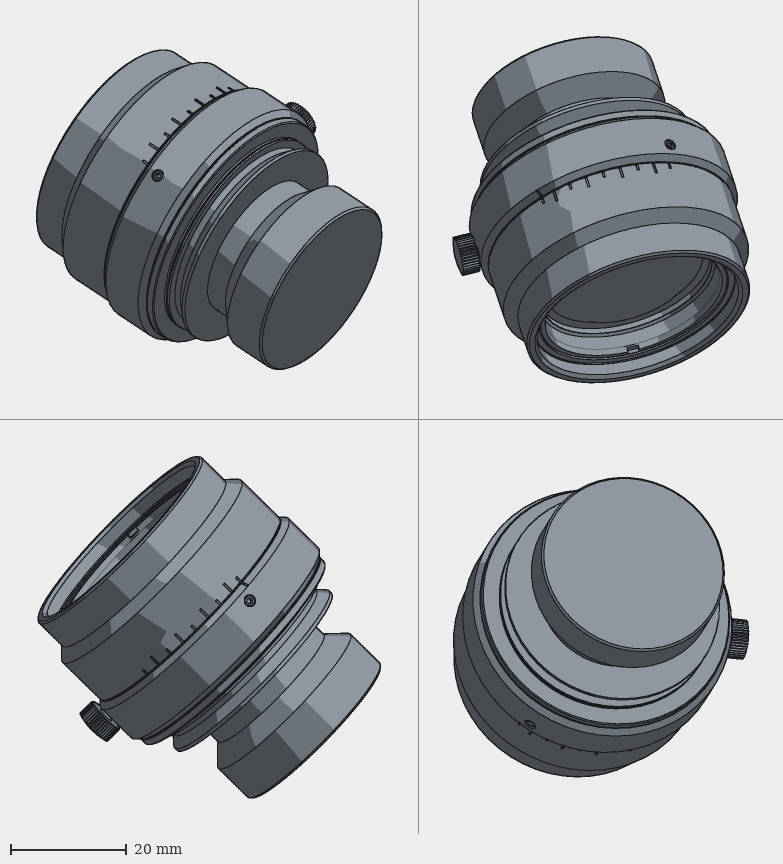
import cadquery as cq
import math

FRONT_R = 20.0
SCALE_R = 22.0
RING_R = 23.0
FLANGE_R = 19.0
DOVETAIL_ROOT_R = 17.5
NECK_R = 13.0
REAR_R = 16.25
EDGE_CHAMFER = 0.35
FLANGE_CHAMFER = 0.2
GROOVE_DEPTH = 0.25

FRONT_TUBE_END = 6.05
SCALE_START = FRONT_TUBE_END + SCALE_R - FRONT_R
SCALE_END = 17.3
RING_START = 17.55
RING_FULL_START = RING_START + RING_R - SCALE_R
RING_FULL_END = 25.9
RING_END = RING_FULL_END + RING_R - SCALE_R
COLLAR_START = 27.15
COLLAR_END = 28.5
FLANGE_GROOVE_START = 28.9
FLANGE_GROOVE_END = 29.1
FLANGE_END = 29.55
DOVETAIL_START = 30.8
DOVETAIL_FULL = 32.45
DOVETAIL_END = 33.1
NECK_END = 37.15
REAR_START = NECK_END + REAR_R - NECK_R
LENGTH = 47.95

GLASS_R = 14.0
GLASS_EDGE_X = 8.8
GLASS_POLE_X = 3.6
RETAINER_X = 3.15
RETAINER_BORE_R = 15.6
RETAINER_R = 16.7
RETAINER_CHAMFER = 0.25
THREAD_R = 18.05
THREAD_END = 2.7
SEAT_LIP_R = 18.0
SEAT_LIP_X = 2.95
SEAT_R = 15.1
BORE_STEPS = [
    (0.0, 18.65),
    (0.6, THREAD_R),
    (THREAD_END, THREAD_R),
    (THREAD_END, SEAT_LIP_R),
    (SEAT_LIP_X, SEAT_LIP_R),
    (SEAT_LIP_X, RETAINER_R + RETAINER_CHAMFER),
    (RETAINER_X + RETAINER_CHAMFER, RETAINER_R + RETAINER_CHAMFER),
    (RETAINER_X, RETAINER_R),
    (RETAINER_X, 15.9),
    (4.2, RETAINER_BORE_R),
    (6.75, RETAINER_BORE_R),
    (7.2, 15.2),
    (7.2, SEAT_R),
    (8.2, SEAT_R),
    (GLASS_EDGE_X, GLASS_R),
]

SLOT_WIDTH = 2.0
SLOT_DEPTH = 0.75
SLOT_INNER_R = 15.3

SCREW_X = 20.5
KNOB_R = 3.4
KNOB_ROOT_R = 3.15
KNOB_RIM_R = 3.25
KNOB_BOTTOM = 23.5
KNOB_SHOULDER = 26.5
KNOB_TOP = 27.0
KNURL_COUNT = 40
STEM_R = 0.95
STEM_FLARE = 0.4
STEM_ROOT = RING_R - 1.0
SET_SCREW_ANGLES = [120, 240]
SET_SCREW_HOLE_R = 2.05 / 2
SET_SCREW_TIP_R = 1.7 / 2
SET_SCREW_RECESS = 0.2
SET_SCREW_CHAMFER = SET_SCREW_HOLE_R - SET_SCREW_TIP_R
SOCKET_ACROSS_CORNERS = 1.15
SOCKET_DEPTH = 1.0

MARK_ANGLES = [34.4, 28, 20, 12, 4, -4, -12, -20, -28]
MARK_WIDTH = 0.35
MARK_DEPTH = 0.1
SHORT_MARK = 1.1
LONG_MARK = 2.0
INDEX_MARK = 1.1


def at_angle(shape, angle):
    """Swing a shape about the barrel axis, from +Y towards +Z."""
    return shape.rotate((0, 0, 0), (1, 0, 0), angle)


def make_barrel():
    floor_r = SCALE_R - GROOVE_DEPTH
    flange_floor_r = FLANGE_R - GROOVE_DEPTH
    outside = [
        (LENGTH, 0),
        (LENGTH, REAR_R - EDGE_CHAMFER),
        (LENGTH - EDGE_CHAMFER, REAR_R),
        (REAR_START, REAR_R),
        (NECK_END, NECK_R),
        (DOVETAIL_END, NECK_R),
        (DOVETAIL_END, FLANGE_R),
        (DOVETAIL_FULL, FLANGE_R),
        (DOVETAIL_START, DOVETAIL_ROOT_R),
        (FLANGE_END, DOVETAIL_ROOT_R),
        (FLANGE_END, FLANGE_R),
        (FLANGE_GROOVE_END, FLANGE_R),
        (FLANGE_GROOVE_END, flange_floor_r),
        (FLANGE_GROOVE_START, flange_floor_r),
        (FLANGE_GROOVE_START, FLANGE_R),
        (COLLAR_END, FLANGE_R),
        (COLLAR_END, SCALE_R - FLANGE_CHAMFER),
        (COLLAR_END - FLANGE_CHAMFER, SCALE_R),
        (COLLAR_START, SCALE_R),
        (COLLAR_START, floor_r),
        (RING_END, floor_r),
        (RING_END, SCALE_R),
        (RING_FULL_END, RING_R),
        (RING_FULL_START, RING_R),
        (RING_START, SCALE_R),
        (RING_START, floor_r),
        (SCALE_END, floor_r),
        (SCALE_END, SCALE_R),
        (SCALE_START, SCALE_R),
        (FRONT_TUBE_END, FRONT_R),
        (EDGE_CHAMFER, FRONT_R),
        (0, FRONT_R - EDGE_CHAMFER),
    ]
    sag = GLASS_EDGE_X - GLASS_POLE_X
    sphere_r = (GLASS_R**2 + sag**2) / (2 * sag)
    half_angle = math.asin(GLASS_R / sphere_r) / 2
    glass_mid = (
        GLASS_POLE_X + sphere_r * (1 - math.cos(half_angle)),
        sphere_r * math.sin(half_angle),
    )
    profile = (
        cq.Workplane("XY")
        .polyline(outside + BORE_STEPS)
        .threePointArc(glass_mid, (GLASS_POLE_X, 0))
        .close()
    )
    return profile.revolve(360, (0, 0, 0), (1, 0, 0))


def make_spanner_slot():
    height = RETAINER_R - SLOT_INNER_R
    slot = cq.Workplane("XY").box(SLOT_DEPTH, height, SLOT_WIDTH, centered=(False, False, True))
    return slot.translate((RETAINER_X, SLOT_INNER_R, 0))


def make_thumb_screw():
    rim_chamfer = KNOB_R - KNOB_RIM_R
    crown_mid = (KNOB_RIM_R / 2, KNOB_TOP - (KNOB_TOP - KNOB_SHOULDER) / 4)
    knob = (
        cq.Workplane("XY")
        .moveTo(0, KNOB_BOTTOM)
        .lineTo(KNOB_RIM_R, KNOB_BOTTOM)
        .lineTo(KNOB_R, KNOB_BOTTOM + rim_chamfer)
        .lineTo(KNOB_R, KNOB_SHOULDER)
        .lineTo(KNOB_RIM_R, KNOB_SHOULDER)
        .threePointArc(crown_mid, (0, KNOB_TOP))
        .close()
        .revolve(360, (0, 0, 0), (0, 1, 0))
    )
    half_pitch = math.pi / KNURL_COUNT
    star = []
    for index in range(2 * KNURL_COUNT):
        radius = KNOB_ROOT_R if index % 2 else KNOB_R
        angle = (index + 0.5) * half_pitch
        star.append((radius * math.cos(angle), radius * math.sin(angle)))
    knurl = (
        cq.Workplane("XZ", origin=(0, KNOB_BOTTOM, 0))
        .polyline(star)
        .close()
        .extrude(KNOB_BOTTOM - KNOB_TOP)
    )
    stem = (
        cq.Workplane("XY")
        .polyline([
            (0, STEM_ROOT),
            (STEM_R, STEM_ROOT),
            (STEM_R, KNOB_BOTTOM - STEM_FLARE),
            (STEM_R + STEM_FLARE, KNOB_BOTTOM),
            (0, KNOB_BOTTOM),
        ])
        .close()
        .revolve(360, (0, 0, 0), (0, 1, 0))
    )
    return knob.intersect(knurl).union(stem).translate((SCREW_X, 0, 0))


def make_set_screw_recess():
    """Hole around a chamfered set screw, plus its hexagon socket."""
    tip = RING_R - SET_SCREW_RECESS
    base = tip - SET_SCREW_CHAMFER
    recess = (
        cq.Workplane("XY")
        .polyline([
            (0, tip),
            (SET_SCREW_TIP_R, tip),
            (SET_SCREW_HOLE_R, base),
            (SET_SCREW_HOLE_R, RING_R + 0.5),
            (0, RING_R + 0.5),
        ])
        .close()
        .revolve(360, (0, 0, 0), (0, 1, 0))
    )
    socket = (
        cq.Workplane("XZ", origin=(0, tip, 0))
        .polygon(6, SOCKET_ACROSS_CORNERS)
        .extrude(SOCKET_DEPTH, both=True)
    )
    return recess.union(socket).translate((SCREW_X, 0, 0))


def make_mark(length):
    mark = cq.Workplane("XY").box(length, 2 * MARK_DEPTH, MARK_WIDTH, centered=(False, True, True))
    return mark.translate((SCALE_END - length, SCALE_R, 0))


def make_index_mark():
    """Line engraved in the 45 degree front shoulder of the clamping ring."""
    mark = cq.Workplane("XY").box(INDEX_MARK, 2 * MARK_DEPTH, MARK_WIDTH)
    mid_x = (RING_START + RING_FULL_START) / 2
    mid_r = (SCALE_R + RING_R) / 2
    return mark.rotate((0, 0, 0), (0, 0, 1), 45).translate((mid_x, mid_r, 0))


result = make_barrel().union(make_thumb_screw())

for angle in (90, 270):
    result = result.cut(at_angle(make_spanner_slot(), angle))

for angle in SET_SCREW_ANGLES:
    result = result.cut(at_angle(make_set_screw_recess(), angle))

for side in (0, 180):
    for index, angle in enumerate(MARK_ANGLES):
        length = LONG_MARK if index % 2 else SHORT_MARK
        result = result.cut(at_angle(make_mark(length), side + 90 - angle))
    result = result.cut(at_angle(make_index_mark(), side + 90 - MARK_ANGLES[0]))